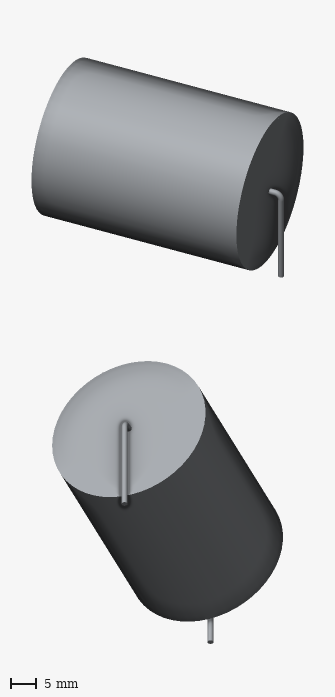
import cadquery as cq

body_length = 44.0
sleeve_diameter = 32.0
core_diameter = 31.0

wire_diameter = 1.2
overall_length = 50.0
bend_radius = 1.3
lead_drop = 19.8

body_end = body_length / 2
lead_x = (overall_length - wire_diameter) / 2
bend_start_x = lead_x - bend_radius


def make_sleeve():
    """Thin tube, open at both ends."""
    return (
        cq.Workplane("YZ", origin=(-body_end, 0, 0))
        .circle(sleeve_diameter / 2)
        .circle(core_diameter / 2)
        .extrude(body_length)
    )


def make_core():
    """Solid cylinder that fills the sleeve, flush with both ends."""
    return (
        cq.Workplane("YZ", origin=(-body_end, 0, 0))
        .circle(core_diameter / 2)
        .extrude(body_length)
    )


def make_lead(side):
    """Wire that leaves one end face and bends down; side is -1 or +1 along X."""
    path = (
        cq.Workplane("XZ")
        .moveTo(side * body_end, 0)
        .lineTo(side * bend_start_x, 0)
        .tangentArcPoint((side * lead_x, -bend_radius), relative=False)
        .lineTo(side * lead_x, -lead_drop)
    )
    return (
        cq.Workplane("YZ", origin=(side * body_end, 0, 0))
        .circle(wire_diameter / 2)
        .sweep(path)
    )


sleeve = make_sleeve()
core = make_core()
leads = [make_lead(side) for side in (-1, 1)]

result = cq.Compound.makeCompound(
    [sleeve.val(), core.val(), *[lead.val() for lead in leads]]
)